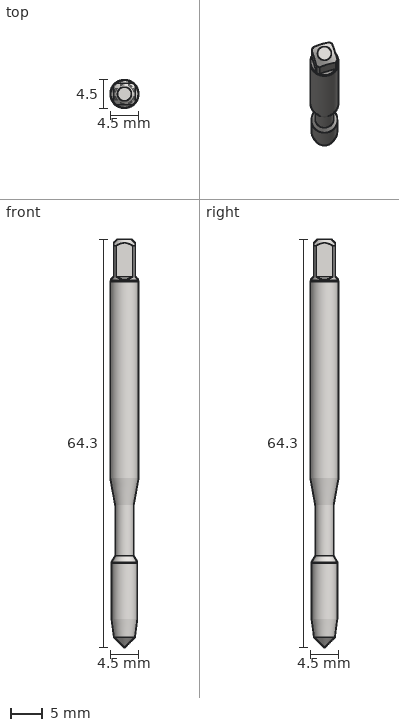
import cadquery as cq

total_length = 64.35

thread_diameter = 4.1
tip_diameter = 3.35
tip_height = tip_diameter / 2
lead_top = 4.6
thread_top = 13.3

neck_diameter = 2.95
shaft_diameter = 4.5
shoulder_bottom = 13.5
neck_bottom = 14.5
neck_top = 22.45
shaft_bottom = 26.7
shaft_top = 57.65
shaft_chamfer_height = 0.2

drive_diameter = 4.3
drive_width = 3.4
flat_bottom = 58.4
runout_drop = 0.5
end_face_diameter = 2.2
end_chamfer = (drive_diameter - end_face_diameter) / 2
flat_count = 4


def revolve_profile(points):
    """Revolve a closed (radius, height) outline about the Z axis."""
    return cq.Workplane("XZ").polyline(points).close().revolve(360, (0, 0), (0, 1))


def make_cutting_section():
    return revolve_profile([
        (0, 0),
        (tip_diameter / 2, tip_height),
        (thread_diameter / 2, lead_top),
        (thread_diameter / 2, thread_top),
        (0, thread_top),
    ])


def make_shank_blank():
    return revolve_profile([
        (0, thread_top),
        (thread_diameter / 2, thread_top),
        (thread_diameter / 2, shoulder_bottom),
        (neck_diameter / 2, neck_bottom),
        (neck_diameter / 2, neck_top),
        (shaft_diameter / 2, shaft_bottom),
        (shaft_diameter / 2, shaft_top),
        (drive_diameter / 2, shaft_top + shaft_chamfer_height),
        (drive_diameter / 2, total_length - end_chamfer),
        (end_face_diameter / 2, total_length),
        (0, total_length),
    ])


def make_flat_cutter():
    """Material removed for one drive flat, with a sloped run-out at its foot."""
    inner = drive_width / 2
    outer = shaft_diameter / 2
    return (
        cq.Workplane("XZ")
        .polyline([
            (inner, total_length),
            (inner, flat_bottom),
            (outer, flat_bottom - runout_drop),
            (outer, total_length),
        ])
        .close()
        .extrude(shaft_diameter / 2, both=True)
    )


def make_shank():
    shank = make_shank_blank()
    flat_cutter = make_flat_cutter()
    for index in range(flat_count):
        angle = index * 360 / flat_count
        shank = shank.cut(flat_cutter.rotate((0, 0, 0), (0, 0, 1), angle))
    return shank


cutting_section = make_cutting_section()
shank = make_shank()

result = cq.Compound.makeCompound([cutting_section.val(), shank.val()])